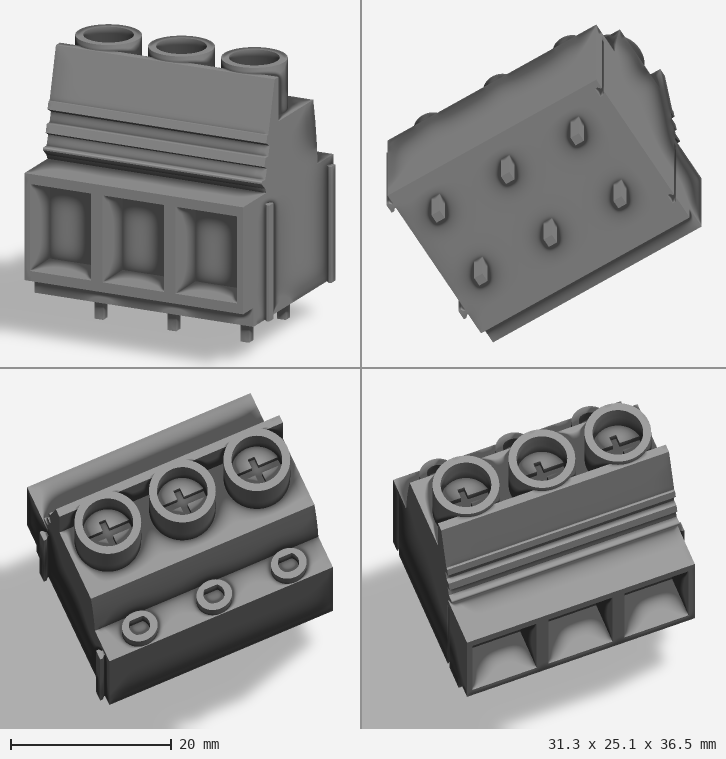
import cadquery as cq


poles = 3
width = 30.48
depth = 25.08
pitch = width / poles
pole_positions = [(pole + 0.5) * pitch for pole in range(poles)]

foot_setback = 2.85
foot_height = 2.5
entry_top = 16.5
rear_top = 16.15
deck_top = 24.9
deck_back_y = 19.45
rear_shelf_y = 20.65
rear_bulge_y = 20.25
rear_bulge_z = 20.4
wall_top = 30.7
wall_front_y = 8.75
wall_back_y = 9.85
lip_front_y = 5.15
lip_back_y = 6.17
lip_top = 18.32
lip_nose_bottom = 18.0
lip_rounding = 0.2

entry_width = 8.55
entry_bottom = 3.8
entry_height = 11.4
entry_depth = 5.55
entry_margin = 0.75

tower_y = 13.25
tower_diameter = 8.32
tower_top = 31.5
bore_diameter = 6.3
screw_top = 27.52
screw_height = 2.5
slot_depth = 1.0
long_slot_width = 1.05
short_slot_width = 0.9
short_slot_length = 3.55

boss_y = 23.0
boss_length = 4.53
boss_width = 3.98
boss_height = 1.95
probe_half_width = 1.3
probe_half_depth = 1.1
probe_corner = 0.88

rail_positions = [6.25, 23.45]
rail_height = 15.2
rail_reach = 0.8
rail_neck_length = 0.15
rail_head_start = 0.45
rail_neck_width = 0.62
rail_head_width = 1.28

pin_side = 1.2
pin_length = 5.0
front_pin_y = 11.17
pin_rows = [front_pin_y, front_pin_y + pitch]


def housing_body():
    """Side outline of the housing, extruded along X, with the nose of the lip rounded."""
    outline = (
        cq.Workplane("YZ")
        .moveTo(foot_setback, 0)
        .lineTo(foot_setback, foot_height)
        .lineTo(0, foot_height)
        .lineTo(0, entry_top)
        .lineTo(6.42, entry_top)
        .lineTo(6.15, 17.12)
        .lineTo(lip_front_y, lip_nose_bottom)
        .lineTo(lip_front_y, lip_top)
        .lineTo(lip_back_y, lip_top)
        .lineTo(6.6, 19.65)
        .lineTo(5.9, 20.05)
        .lineTo(6.25, 21.15)
        .lineTo(7.0, 21.15)
        .lineTo(7.37, 22.4)
        .lineTo(6.42, 22.95)
        .lineTo(6.7, 23.98)
        .lineTo(7.0, 23.98)
        .lineTo(wall_front_y, wall_top)
        .lineTo(wall_back_y, wall_top)
        .lineTo(wall_back_y, deck_top)
        .lineTo(deck_back_y, deck_top)
        .threePointArc((rear_bulge_y, rear_bulge_z), (rear_shelf_y, rear_top))
        .lineTo(depth, rear_top)
        .lineTo(depth, 0)
        .close()
    )
    lip_edge = cq.selectors.NearestToPointSelector((width / 2, lip_front_y, lip_top))
    return outline.extrude(width).edges(lip_edge).fillet(lip_rounding)


def upright_cylinder(x, y, bottom, top, diameter):
    """Cylinder about a vertical axis, between two heights."""
    return cq.Workplane("XY", origin=(x, y, bottom)).circle(diameter / 2).extrude(top - bottom)


def wire_entry(left):
    """Rectangular pocket from the wire side, with its left wall at the given X."""
    pocket = cq.Workplane("XY").box(entry_width, entry_depth, entry_height, centered=False)
    return pocket.translate((left, 0, entry_bottom))


def probe_boss(x):
    """Slightly oval boss standing on the rear shelf."""
    base = cq.Workplane("XY", origin=(x, boss_y, rear_top))
    return base.ellipse(boss_length / 2, boss_width / 2).extrude(boss_height)


def probe_hole(x):
    """Hole with a flat front, round sides and a shallow curved back, as deep as the boss is high."""
    return (
        cq.Workplane("XY", origin=(x, boss_y, rear_top))
        .moveTo(-probe_corner, -probe_half_depth)
        .lineTo(probe_corner, -probe_half_depth)
        .threePointArc((probe_half_width, 0), (probe_corner, probe_corner))
        .threePointArc((0, probe_half_depth), (-probe_corner, probe_corner))
        .threePointArc((-probe_half_width, 0), (-probe_corner, -probe_half_depth))
        .close()
        .extrude(boss_height)
    )


def dovetail(x, y):
    """Upright dovetail that grows in +X from the given position."""
    neck = rail_neck_width / 2
    head = rail_head_width / 2
    return (
        cq.Workplane("XY", origin=(x, y, 0))
        .moveTo(0, -neck)
        .lineTo(rail_neck_length, -neck)
        .lineTo(rail_head_start, -head)
        .lineTo(rail_reach, -head)
        .lineTo(rail_reach, head)
        .lineTo(rail_head_start, head)
        .lineTo(rail_neck_length, neck)
        .lineTo(0, neck)
        .close()
        .extrude(rail_height)
    )


def make_housing():
    """Housing with its towers, bosses, bores, wire entries, rails and grooves."""
    body = housing_body()
    for x in pole_positions:
        body = body.union(upright_cylinder(x, tower_y, deck_top, tower_top, tower_diameter))
        body = body.union(probe_boss(x))
    for pole, x in enumerate(pole_positions):
        body = body.cut(upright_cylinder(x, tower_y, screw_top - screw_height, tower_top, bore_diameter))
        body = body.cut(probe_hole(x))
        body = body.cut(wire_entry(entry_margin + pole * pitch))
    for y in rail_positions:
        body = body.union(dovetail(width, y))
        body = body.cut(dovetail(0, y))
    return body


def make_screw(x):
    """Screw head that fills the bore, with a long and a short driver slot crossing at its centre."""
    head = upright_cylinder(x, tower_y, screw_top - screw_height, screw_top, bore_diameter)
    slot_floor = cq.Workplane("XY", origin=(x, tower_y, screw_top - slot_depth))
    long_slot = slot_floor.rect(bore_diameter, long_slot_width).extrude(slot_depth)
    short_slot = slot_floor.rect(short_slot_width, short_slot_length).extrude(slot_depth)
    return head.cut(long_slot).cut(short_slot)


def make_pin(x, y):
    """Square pin hanging from the underside of the housing."""
    return cq.Workplane("XY", origin=(x, y, 0)).rect(pin_side, pin_side).extrude(-pin_length)


housing = make_housing()
screws = [make_screw(x) for x in pole_positions]
pins = [make_pin(x, y) for x in pole_positions for y in pin_rows]

result = cq.Compound.makeCompound([body.val() for body in [housing, *screws, *pins]])